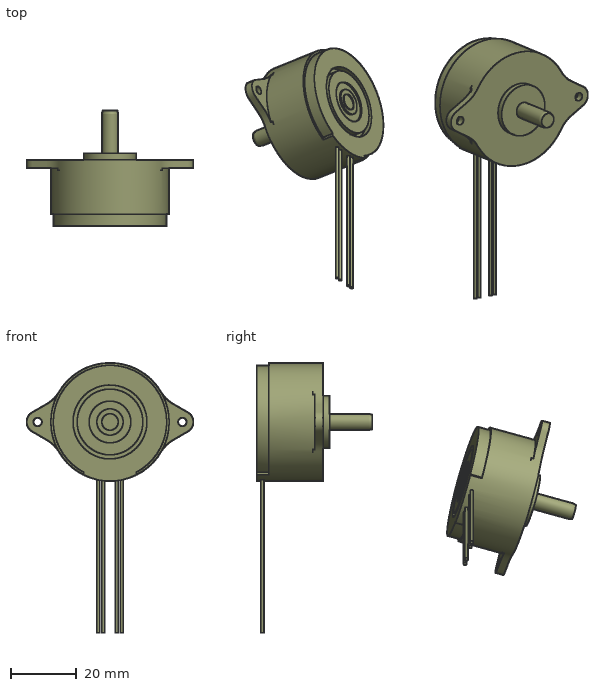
import cadquery as cq
import math


can_radius = 18.0
cover_radius = 17.25
cover_length = 3.7
rim_thickness = 3.2
can_end_y = 20.2

ear_thickness = 2.5
ear_hole_offset = 22.0
ear_hole_diameter = 2.5
ear_end_radius = 3.385
ear_slope_angle = 30.0
ear_fillet_radius = 10.0
ear_step_x = 15.95

boss_radius = 8.0
boss_thickness = 2.0
shaft_radius = 2.5
shaft_length = 13.0
shaft_tip_length = 1.0
shaft_tip_inset = 0.25

groove_outer_radius = 11.25
groove_inner_radius = 10.0
groove_depth = 2.0
recess_radius = 6.35
hub_radius = 4.0
recess_depth = 0.5
dimple_radius = 2.5
dimple_depth = 0.3

pad_width = 16.0
wire_diameter = 1.0
wire_offsets = (-3.57, -2.07, 2.07, 3.57)
wire_y = 1.75
wire_start_z = -14.0
wire_end_z = -64.15


def cylinder(radius, y_start, y_end):
    """Solid cylinder on the motor axis between two Y positions."""
    return cq.Workplane("XZ", origin=(0, y_start, 0)).circle(radius).extrude(y_start - y_end)


def ear_profile():
    """Key points of the ear edge on the +X, +Z side: straight flank, then fillet to the can circle."""
    slope = math.radians(ear_slope_angle)
    normal_x = math.sin(slope)
    normal_z = math.cos(slope)
    flank_start = (ear_hole_offset + ear_end_radius * normal_x, ear_end_radius * normal_z)

    centre_distance = can_radius + ear_fillet_radius
    flank_distance = ear_hole_offset * normal_x + ear_end_radius
    centre_angle = math.pi / 2 - slope - math.acos((flank_distance + ear_fillet_radius) / centre_distance)
    centre_x = centre_distance * math.cos(centre_angle)
    centre_z = centre_distance * math.sin(centre_angle)
    flank_end = (centre_x - ear_fillet_radius * normal_x, centre_z - ear_fillet_radius * normal_z)

    can_tangent = (can_radius * math.cos(centre_angle), can_radius * math.sin(centre_angle))
    middle_angle = (math.pi + centre_angle + 1.5 * math.pi - slope) / 2
    fillet_middle = (
        centre_x + ear_fillet_radius * math.cos(middle_angle),
        centre_z + ear_fillet_radius * math.sin(middle_angle),
    )
    return flank_start, flank_end, fillet_middle, can_tangent


def make_rim_plate():
    """Round plate with two ears, full thickness over the can and thinner at the ears."""
    flank_start, flank_end, fillet_middle, can_tangent = ear_profile()

    def mirror_x(point):
        return (-point[0], point[1])

    def mirror_z(point):
        return (point[0], -point[1])

    def turn(point):
        return (-point[0], -point[1])

    ear_tip = (ear_hole_offset + ear_end_radius, 0)
    plate = (
        cq.Workplane("XZ", origin=(0, can_end_y, 0))
        .moveTo(*mirror_z(flank_start))
        .threePointArc(ear_tip, flank_start)
        .lineTo(*flank_end)
        .threePointArc(fillet_middle, can_tangent)
        .threePointArc((0, can_radius), mirror_x(can_tangent))
        .threePointArc(mirror_x(fillet_middle), mirror_x(flank_end))
        .lineTo(*mirror_x(flank_start))
        .threePointArc(turn(ear_tip), turn(flank_start))
        .lineTo(*turn(flank_end))
        .threePointArc(turn(fillet_middle), turn(can_tangent))
        .threePointArc((0, -can_radius), mirror_z(can_tangent))
        .threePointArc(mirror_z(fillet_middle), mirror_z(flank_end))
        .close()
        .extrude(rim_thickness)
    )
    ear_length = ear_hole_offset + ear_end_radius - ear_step_x
    ear_relief = rim_thickness - ear_thickness
    for side in (-1, 1):
        relief = cq.Workplane("XY").box(ear_length, ear_relief, 2 * can_radius)
        relief_x = side * (ear_step_x + ear_length / 2)
        relief_y = can_end_y - rim_thickness + ear_relief / 2
        plate = plate.cut(relief.translate((relief_x, relief_y, 0)))
    holes = (
        cq.Workplane("XZ", origin=(0, can_end_y, 0))
        .pushPoints([(-ear_hole_offset, 0), (ear_hole_offset, 0)])
        .circle(ear_hole_diameter / 2)
        .extrude(rim_thickness)
    )
    return plate.cut(holes)


def make_shaft():
    """Boss and output shaft with a tapered tip."""
    boss_end_y = can_end_y + boss_thickness
    shaft_end_y = boss_end_y + shaft_length
    boss = cylinder(boss_radius, can_end_y, boss_end_y)
    shaft = cylinder(shaft_radius, boss_end_y, shaft_end_y)
    shaft = shaft.faces(">Y").chamfer(shaft_tip_length, shaft_tip_inset)
    return boss.union(shaft)


def make_wire_pad():
    """Lower stretch of the rear cover, carried out to the full can radius."""
    pad_block = cq.Workplane("XY").box(pad_width, cover_length, can_radius, centered=(True, False, False))
    return cylinder(can_radius, 0, cover_length).intersect(pad_block.translate((0, 0, -can_radius)))


def cut_cover_rings(body):
    """Annular groove, shallow ring recess around the hub, and dimple in the hub."""
    groove = cylinder(groove_outer_radius, 0, groove_depth).cut(cylinder(groove_inner_radius, 0, groove_depth))
    recess = cylinder(recess_radius, 0, recess_depth).cut(cylinder(hub_radius, 0, recess_depth))
    dimple = cylinder(dimple_radius, 0, dimple_depth)
    return body.cut(groove).cut(recess).cut(dimple)


def make_wires():
    """Four straight lead wires hanging down from the pad."""
    return (
        cq.Workplane("XY", origin=(0, wire_y, wire_start_z))
        .pushPoints([(offset, 0) for offset in wire_offsets])
        .circle(wire_diameter / 2)
        .extrude(wire_end_z - wire_start_z)
    )


motor = cylinder(cover_radius, 0, cover_length)
motor = motor.union(make_wire_pad())
motor = motor.union(cylinder(can_radius, cover_length, can_end_y))
motor = motor.union(make_rim_plate())
motor = motor.union(make_shaft())
motor = cut_cover_rings(motor)
result = motor.union(make_wires())